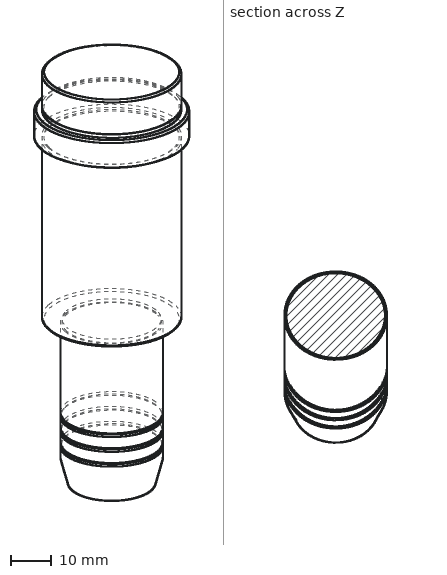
import cadquery as cq

total_length = 110.0
body_radius = 17.0
flange_diameter = 38.0
shank_radius = 12.5
tip_radius = 10.7

head_length = 9.0
flange_length = 7.0
body_bottom = 44.0
taper_length = 7.0
edge_chamfer = 0.5
tip_fillet = 0.5

neck_width = 1.0
neck_depth = 0.5
neck_root_height = 0.7
relief_depth = 0.4
groove_width = 1.0
groove_depth = 0.3
groove_count = 3
groove_pitch = 4.0
top_groove_upper_edge = 19.0

flange_radius = flange_diameter / 2
head_bottom = total_length - head_length
flange_top = head_bottom - neck_width
flange_bottom = flange_top - flange_length


def cylinder(radius, bottom, top):
    return cq.Workplane("XY").workplane(offset=bottom).circle(radius).extrude(top - bottom)


def ring_groove(radius, depth, bottom, width, root_height):
    """Cutter for a V-groove whose deepest line lies root_height above its lower edge."""
    profile = [
        (radius + depth, bottom),
        (radius, bottom),
        (radius - depth, bottom + root_height),
        (radius, bottom + width),
        (radius + depth, bottom + width),
    ]
    return cq.Workplane("XZ").polyline(profile).close().revolve(360, (0, 0), (0, 1))


body = cylinder(body_radius, body_bottom, total_length)
body = body.faces("<Z or >Z").chamfer(edge_chamfer)
for neck_bottom in (head_bottom - neck_width, flange_bottom - neck_width):
    body = body.cut(ring_groove(body_radius, neck_depth, neck_bottom, neck_width, neck_root_height))

flange = cylinder(flange_radius, flange_bottom, flange_top)
flange = flange.faces(">Z").chamfer(edge_chamfer)

shank = cylinder(shank_radius, taper_length, body_bottom)
relief_bottom = body_bottom - neck_width
shoulder_relief = cylinder(shank_radius, relief_bottom, body_bottom).cut(
    cylinder(shank_radius - relief_depth, relief_bottom, body_bottom)
)
shank = shank.cut(shoulder_relief)
for index in range(groove_count):
    groove_bottom = top_groove_upper_edge - groove_width - index * groove_pitch
    shank = shank.cut(
        ring_groove(shank_radius, groove_depth, groove_bottom, groove_width, groove_width / 2)
    )

tip = (
    cq.Workplane("XY")
    .circle(tip_radius)
    .workplane(offset=taper_length)
    .circle(shank_radius)
    .loft(ruled=True)
    .faces("<Z")
    .fillet(tip_fillet)
)

result = body.union(flange).union(shank).union(tip)